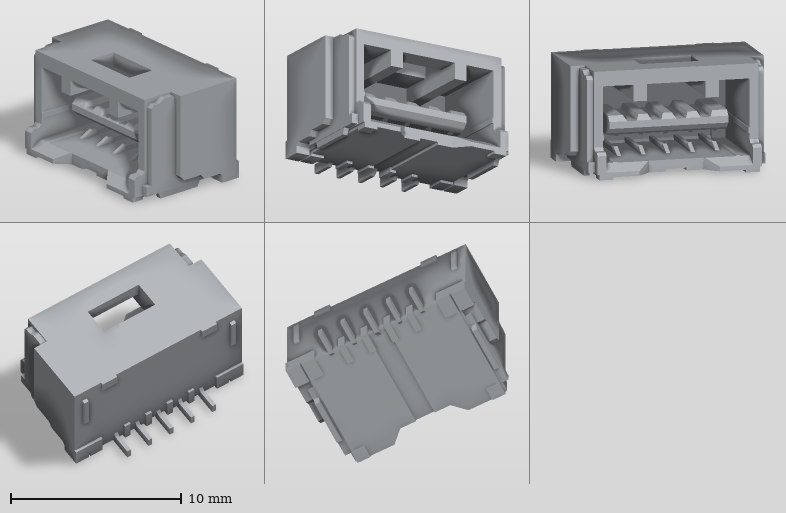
import cadquery as cq


height = 6.4
wide_half = 5.9
narrow_half = 5.0
front_y = 0.78
step_y = 2.78
rear_y = 7.08
pad_y = 7.25
floor_bottom = 0.19
foot_bottom = 0.04
side_relief_top = 0.35
channel_half = 0.63
foot_outer = 4.89
foot_inner = 4.04
rear_foot_y = 6.0
rear_flange_top = 1.12
pad_bottom = 5.8
pad_inner = 3.0
wing_bottom = 1.26

cavity_half = 4.46
cavity_floor = 0.9
cavity_top = 5.5
cavity_end_y = 6.18
key_inner = 1.79
key_outer = 2.6
key_bottom = 4.5
window_front_y = 2.3
window_rear_y = 4.06
guide_rib_depth = 0.07
guide_rib_bottom = 2.24
guide_rib_top = 2.56
floor_rib_outer = 3.88
floor_rib_height = 0.04

lip_tip_half = 2.44
lip_edge_z = 0.47
lip_slope_y = 0.72

tongue_half = 3.62
tongue_front_y = 2.43
tongue_top = 2.99
tongue_nose_bottom = 2.57
tongue_bottom = 2.09
tongue_taper = 0.28
bevel = 0.32
ridge_base = 0.91
ridge_crest = 0.55
recess_depth = 0.24
recess_slope = 0.14

contact_count = 5
pitch = 1.5
contact_width = 0.25
tail_height = 0.58
tail_end_y = 8.5
tail_bend_y = 7.03
tail_root = 0.24
jaw_ramp_length = 0.74
upper_ramp_length = 0.52
jaw_bevel = 0.06
jaw_step = 0.12
lower_jaw_tip_y = 2.63
lower_jaw_top = 1.32
upper_jaw_bottom = 1.96
peg_width = 0.39

tab_half = 5.39
tab_foot_inner = 5.04
tab_foot_outer = 5.36
tab_bottom = 0.39
tab_rear_y = 5.38
tab_gap_y = 2.74
tab_end_y = 7.29

contact_xs = [(i - (contact_count - 1) / 2) * pitch for i in range(contact_count)]
peg_xs = [x + pitch / 2 for x in contact_xs[:-1]]


def block(x0, x1, y0, y1, z0, z1):
    """Box between two opposite corners."""
    return cq.Workplane("XY").box(x1 - x0, y1 - y0, z1 - z0, centered=False).translate((x0, y0, z0))


def side_profile(points, x0, x1):
    """Extrude a (y, z) outline from x0 to x1."""
    return cq.Workplane("YZ").polyline(points).close().extrude(x1 - x0).translate((x0, 0, 0))


def both_sides(shape):
    """A shape together with its mirror image across the YZ plane."""
    return shape.union(shape.mirror("YZ"))


def housing_shell():
    """Stepped outer block, with the relieved underside of its wide rear part."""
    narrow = block(-narrow_half, narrow_half, front_y, rear_y, floor_bottom, height)
    wide_outline = [
        (step_y, height), (step_y, wing_bottom), (3.08, 0.97), (4.35, 0.97), (4.63, 0.66),
        (5.82, 0.66), (rear_foot_y, 0.47), (rear_foot_y, foot_bottom),
        (rear_y, foot_bottom), (rear_y, height),
    ]
    wings = both_sides(side_profile(wide_outline, narrow_half, wide_half))
    return narrow.union(wings)


def front_lip():
    """Lower lip with a sloping lead-in, open in the middle between two slanted ends."""
    outline = [
        (front_y, floor_bottom), (0, floor_bottom), (0, lip_edge_z),
        (lip_slope_y, cavity_floor), (front_y, cavity_floor),
    ]
    lip = side_profile(outline, -narrow_half, narrow_half)
    gap_root_half = lip_tip_half - front_y
    gap = (
        cq.Workplane("XY")
        .polyline([
            (-lip_tip_half, 0), (lip_tip_half, 0),
            (gap_root_half, front_y), (-gap_root_half, front_y),
        ])
        .close()
        .extrude(height)
    )
    rib_end_outline = [
        (front_y, cavity_floor), (lip_slope_y, cavity_floor), (front_y, cavity_floor + floor_rib_height),
    ]
    rib_ends = both_sides(side_profile(rib_end_outline, tongue_half, floor_rib_outer))
    cheek_outline = [
        (front_y, floor_bottom), (front_y, 1.85), (0.59, 1.66),
        (0.18, 1.66), (0, 1.49), (0, floor_bottom),
    ]
    cheeks = both_sides(side_profile(cheek_outline, cavity_half, narrow_half))
    return lip.cut(gap).union(rib_ends).union(cheeks)


def feet():
    """Front and rear feet, the rear locating pads and the pegs between the tails."""
    front = block(foot_inner, foot_outer, 0, front_y, foot_bottom, floor_bottom)
    rear = block(foot_inner, wide_half, rear_y, pad_y, foot_bottom, rear_flange_top)
    rear_inner = block(foot_inner, foot_outer, rear_foot_y, rear_y, foot_bottom, floor_bottom)
    upper_pad = block(pad_inner, foot_inner, rear_y, pad_y, pad_bottom, height)
    shape = both_sides(front.union(rear).union(rear_inner).union(upper_pad))
    for x in peg_xs:
        half = peg_width / 2
        shape = shape.union(block(x - half, x + half, rear_foot_y, pad_y, foot_bottom, rear_flange_top))
    return shape


def middle_channel():
    """Shallow channel along the middle of the underside."""
    return block(-channel_half, channel_half, 0, rear_y, 0, side_relief_top)


def foot_slots():
    """Slots along the underside, just outside the feet."""
    return both_sides(block(foot_outer, narrow_half, 0, tail_end_y, 0, side_relief_top))


def cavity():
    """Mating cavity with keys, guide ribs and floor ribs left standing, plus the top window."""
    room = block(-cavity_half, cavity_half, front_y, cavity_end_y, cavity_floor, cavity_top)
    key = block(key_inner, key_outer, front_y, cavity_end_y, key_bottom, cavity_top)
    guide = block(
        cavity_half - guide_rib_depth, cavity_half, front_y, cavity_end_y,
        guide_rib_bottom, guide_rib_top,
    )
    floor_rib = block(
        tongue_half, floor_rib_outer, front_y, cavity_end_y,
        cavity_floor, cavity_floor + floor_rib_height,
    )
    room = room.cut(both_sides(key.union(guide).union(floor_rib)))
    recess_end_y = cavity_end_y + recess_depth
    recess_outline = [
        (cavity_end_y, cavity_floor), (recess_end_y - recess_slope, cavity_floor),
        (recess_end_y, cavity_floor + recess_slope), (recess_end_y, tongue_bottom),
        (cavity_end_y, tongue_bottom),
    ]
    recess = side_profile(recess_outline, -tongue_half, tongue_half)
    window = block(-key_inner, key_inner, window_front_y, window_rear_y, key_bottom, height)
    return room.union(recess).union(window)


def ridge_envelope():
    """Space above the tongue that is bounded in front by the 45 degree bevel."""
    top = tongue_top + bevel
    outline = [
        (tongue_front_y, tongue_top), (tongue_front_y + bevel, top),
        (cavity_end_y, top), (cavity_end_y, tongue_top),
    ]
    return side_profile(outline, -tongue_half, tongue_half)


def ridge(x):
    """Trapezoidal ridge on top of the tongue, its front end bevelled at 45 degrees."""
    base = ridge_base / 2
    crest = ridge_crest / 2
    top = tongue_top + bevel
    bar = (
        cq.Workplane("XZ")
        .polyline([(x - base, tongue_top), (x + base, tongue_top), (x + crest, top), (x - crest, top)])
        .close()
        .extrude(-(cavity_end_y - tongue_front_y))
        .translate((0, tongue_front_y, 0))
    )
    return bar.intersect(ridge_envelope())


def tongue():
    """Cantilevered tongue with a tapered nose and one ridge above each contact."""
    nose_end_y = tongue_front_y + bevel
    outline = [
        (tongue_front_y, tongue_top), (tongue_front_y, tongue_nose_bottom),
        (nose_end_y, tongue_nose_bottom - bevel), (nose_end_y + tongue_taper, tongue_bottom),
        (cavity_end_y, tongue_bottom), (cavity_end_y, tongue_top),
    ]
    shape = side_profile(outline, -tongue_half, tongue_half)
    for x in contact_xs:
        shape = shape.union(ridge(x))
    outer_fill = both_sides(block(contact_xs[-1], tongue_half, 0, cavity_end_y, tongue_top, height))
    return shape.union(outer_fill.intersect(ridge_envelope()))


def contact(x):
    """Forked contact: a lower and an upper jaw in the cavity and a bent tail at the rear."""
    x0 = x - contact_width / 2
    x1 = x + contact_width / 2
    root_y = cavity_end_y + recess_depth
    lower_peak_y = lower_jaw_tip_y + jaw_ramp_length
    lower_jaw = [
        (lower_jaw_tip_y - jaw_bevel, cavity_floor), (lower_jaw_tip_y, cavity_floor + jaw_bevel),
        (lower_peak_y, lower_jaw_top), (lower_peak_y + jaw_bevel, lower_jaw_top - jaw_step),
        (root_y, lower_jaw_top - jaw_step), (root_y, cavity_floor),
    ]
    upper_tip_y = tongue_front_y + bevel
    upper_tip_z = tongue_nose_bottom - bevel
    upper_peak_y = upper_tip_y + upper_ramp_length
    upper_jaw = [
        (upper_tip_y, upper_tip_z),
        (upper_peak_y, upper_jaw_bottom), (upper_peak_y + jaw_bevel, upper_jaw_bottom + jaw_step),
        (root_y, upper_jaw_bottom + jaw_step), (root_y, upper_tip_z),
    ]
    tail = [
        (tail_end_y, 0), (tail_bend_y, 0), (tail_bend_y - tail_height, tail_height),
        (tail_bend_y - tail_height, tail_height + tail_root), (pad_y - tail_root, tail_height + tail_root),
        (pad_y, tail_height), (tail_end_y, tail_height),
    ]
    return [side_profile(outline, x0, x1) for outline in (lower_jaw, upper_jaw, tail)]


def retention_tabs():
    """Side tabs in front of the wide body, each with a solder foot and a rear end."""
    plate_outline = [
        (tab_rear_y, tab_bottom), (tab_rear_y, wing_bottom), (step_y, wing_bottom),
        (step_y, 5.83), (tab_gap_y, 5.83), (tab_gap_y, 6.21),
        (2.64, 6.3), (1.97, 6.3), (1.56, 6.08), (1.18, 6.08), (0.98, 5.89),
        (0.98, 1.0), (0.61, 1.0), (0.61, tab_bottom),
    ]
    plate = side_profile(plate_outline, narrow_half, tab_half)
    foot_outline = [(1.56, tab_bottom), (1.72, 0), (4.54, 0), (4.71, tab_bottom)]
    foot = side_profile(foot_outline, tab_foot_inner, tab_foot_outer)
    end_outline = [(rear_y, 3.48), (tab_end_y, 3.54), (tab_end_y, 5.56), (rear_y, 5.62)]
    rear_end = side_profile(end_outline, tab_foot_inner, tab_foot_outer)
    return both_sides(plate.union(foot).union(rear_end))


result = housing_shell().union(front_lip()).cut(middle_channel())
result = result.union(feet()).cut(foot_slots())
result = result.cut(cavity()).union(tongue()).union(retention_tabs())
for contact_x in contact_xs:
    for piece in contact(contact_x):
        result = result.union(piece)